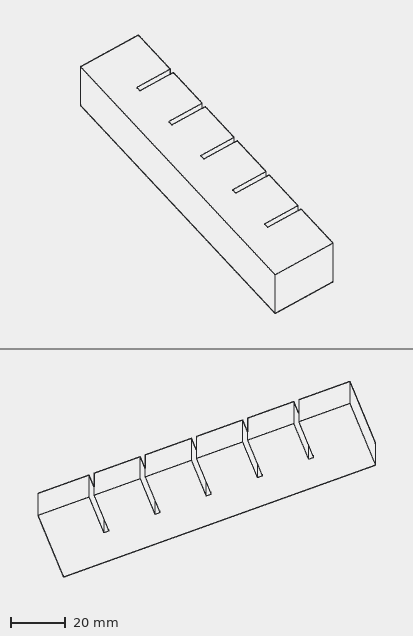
import cadquery as cq

length = 122.0
depth = 26.0
height = 22.0

slot_count = 5
slot_pitch = 20.0
slot_width = 2.0
slot_depth = 15.0


def make_block():
    return cq.Workplane("XY").box(length, depth, height)


def make_slots():
    """Row of equal slots, centred along the length of the block."""
    slot_center_y = (depth - slot_depth) / 2
    return (
        cq.Workplane("XY")
        .center(0, slot_center_y)
        .rarray(slot_pitch, 1.2, slot_count, 1)
        .box(slot_width, slot_depth, height)
    )


result = make_block().cut(make_slots())